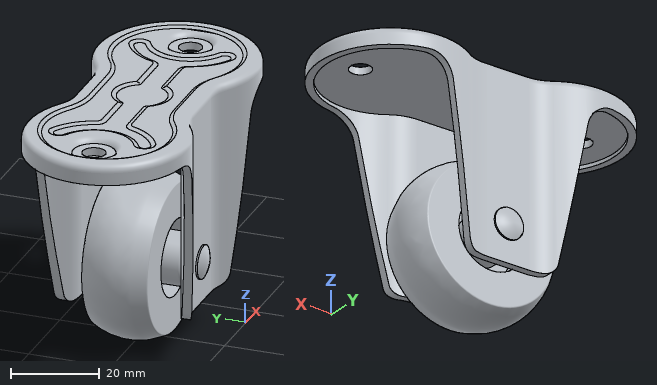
import cadquery as cq
import math


lobe_radius = 19.5
lobe_offset = 22.5
waist_half_length = 6.0
waist_blend_radius = 10.0
plate_thickness = 5.0
plate_edge_radius = 2.0

rim_width = 3.7
panel_depth = 0.5
panel_wall_run = 0.9

groove_depth = 0.4
groove_wall_run = 1.1
groove_centre_radius = 7.0
groove_arm_half_width = 3.6
groove_bar_radius = 11.6
groove_bar_half_width = 2.5
groove_bar_half_angle = 63.0
groove_corner_radius = 1.5

screw_offset = 31.0
screw_hole_radius = 2.75
screw_seat_radius = 5.0
screw_seat_depth = 2.0
screw_lip_radius = 7.5
screw_floor_thickness = 2.0

wall_thickness = 2.0
leg_bottom = -50.0
leg_bottom_half_width = 12.0
leg_edge_angle = 10.0
leg_root_radius = 7.0
leg_corner_radius = 3.0

axle_height = -40.0
wheel_radius = 20.0
wheel_half_width = 8.0
wheel_crown_radius = 16.0
wheel_edge_radius = 0.4
hub_radius = 6.25
hub_half_length = 12.0
hub_edge_radius = 1.0
wheel_recess_radius = 9.2
wheel_recess_depth = 5.0

pin_radius = 3.0
pin_head_radius = 4.0
pin_head_rim = 0.4
pin_dome_height = 1.1

blend_centre_y = math.sqrt(
    (lobe_radius + waist_blend_radius) ** 2 - (lobe_offset - waist_half_length) ** 2
)
waist_half_width = blend_centre_y - waist_blend_radius


def plate_outline(inset, height):
    """Closed plate outline moved inwards by inset, drawn at the given height."""
    lobe = lobe_radius - inset
    blend = waist_blend_radius + inset
    waist_y = waist_half_width - inset
    lobe_to_blend = math.atan2(blend_centre_y, lobe_offset - waist_half_length)
    joint_x = lobe_offset - lobe * math.cos(lobe_to_blend)
    joint_y = lobe * math.sin(lobe_to_blend)
    middle_angle = (lobe_to_blend + math.pi / 2) / 2
    middle_x = waist_half_length + blend * math.cos(middle_angle)
    middle_y = blend_centre_y - blend * math.sin(middle_angle)
    return (
        cq.Workplane("XY", origin=(0, 0, height))
        .moveTo(-waist_half_length, waist_y)
        .lineTo(waist_half_length, waist_y)
        .threePointArc((middle_x, middle_y), (joint_x, joint_y))
        .threePointArc((lobe_offset + lobe, 0), (joint_x, -joint_y))
        .threePointArc((middle_x, -middle_y), (waist_half_length, -waist_y))
        .lineTo(-waist_half_length, -waist_y)
        .threePointArc((-middle_x, -middle_y), (-joint_x, -joint_y))
        .threePointArc((-lobe_offset - lobe, 0), (-joint_x, joint_y))
        .threePointArc((-middle_x, middle_y), (-waist_half_length, waist_y))
        .close()
    )


def wall_taper(run, depth):
    """Draft angle of a wall that moves sideways by run over depth."""
    return math.degrees(math.atan2(run, depth))


def make_panel_recess():
    taper = wall_taper(panel_wall_run, panel_depth)
    return plate_outline(rim_width, 0).extrude(-panel_depth, taper=taper)


def groove_bar(side):
    """Curved bar with round ends, centred on the screw hole on the given side."""
    inner = groove_bar_radius - groove_bar_half_width
    outer = groove_bar_radius + groove_bar_half_width
    tip_angle = math.radians(groove_bar_half_angle)
    cap_angle = tip_angle + groove_bar_half_width / groove_bar_radius

    def point(radius, angle):
        return (side * (screw_offset - radius * math.cos(angle)), radius * math.sin(angle))

    return (
        cq.Workplane("XY", origin=(0, 0, -panel_depth))
        .moveTo(*point(inner, -tip_angle))
        .threePointArc(point(inner, 0), point(inner, tip_angle))
        .threePointArc(point(groove_bar_radius, cap_angle), point(outer, tip_angle))
        .threePointArc(point(outer, 0), point(outer, -tip_angle))
        .threePointArc(point(groove_bar_radius, -cap_angle), point(inner, -tip_angle))
        .close()
        .extrude(-groove_depth)
    )


def make_groove():
    """Sloping-sided groove of arms, bars and centre, with the arm-to-bar corners rounded."""
    arm_length = 2 * (screw_offset - groove_bar_radius)
    panel_floor = cq.Workplane("XY", origin=(0, 0, -panel_depth))
    arms = panel_floor.rect(arm_length, 2 * groove_arm_half_width).extrude(-groove_depth)
    straight = arms.union(groove_bar(-1)).union(groove_bar(1))
    bar_edge = groove_bar_radius + groove_bar_half_width
    corner_x = screw_offset - math.sqrt(bar_edge ** 2 - groove_arm_half_width ** 2)
    for x in (-corner_x, corner_x):
        for y in (-groove_arm_half_width, groove_arm_half_width):
            corner = cq.selectors.NearestToPointSelector((x, y, -panel_depth - groove_depth / 2))
            straight = straight.edges("|Z").edges(corner).fillet(groove_corner_radius)
    centre = panel_floor.circle(groove_centre_radius).extrude(-groove_depth)
    outline = straight.union(centre).faces(">Z").wires()
    taper = wall_taper(groove_wall_run, groove_depth)
    return outline.toPending().extrude(-groove_depth, taper=taper, combine=False)


def make_screw_seat(x):
    """Round seat whose lip rolls over into the panel, kept clear of the raised rim."""
    lip_run = screw_lip_radius - screw_seat_radius
    lip_drop = screw_seat_depth - panel_depth
    roll_radius = (lip_run ** 2 + lip_drop ** 2) / (2 * lip_drop)
    half_angle = math.asin(lip_run / roll_radius) / 2
    roll_middle = (
        screw_lip_radius - roll_radius * math.sin(half_angle),
        -panel_depth - roll_radius * (1 - math.cos(half_angle)),
    )
    seat = (
        cq.Workplane("XZ")
        .moveTo(0, -screw_seat_depth)
        .lineTo(screw_seat_radius, -screw_seat_depth)
        .threePointArc(roll_middle, (screw_lip_radius, -panel_depth))
        .lineTo(0, -panel_depth)
        .close()
        .revolve(360, (0, 0, 0), (0, 1, 0))
        .translate((x, 0, 0))
    )
    panel_column = plate_outline(rim_width + panel_wall_run, 0).extrude(-plate_thickness)
    return seat.intersect(panel_column)


def make_underside_hollow():
    """Shallow hollow inside the skirt that leaves a thin floor under each screw seat."""
    hollow_depth = plate_thickness - screw_seat_depth - screw_floor_thickness
    return plate_outline(wall_thickness, -plate_thickness).extrude(hollow_depth)


def make_plate():
    plate = plate_outline(0, 0).extrude(-plate_thickness)
    plate = plate.faces(">Z").edges().fillet(plate_edge_radius)
    plate = plate.cut(make_panel_recess()).cut(make_groove()).cut(make_underside_hollow())
    for x in (-screw_offset, screw_offset):
        hole = cq.Workplane("XY").center(x, 0).circle(screw_hole_radius).extrude(-plate_thickness)
        plate = plate.cut(make_screw_seat(x)).cut(hole)
    return plate


def make_legs():
    """Both legs: the band under the plate edge, trimmed to a tapering shape along X."""
    plate_bottom = -plate_thickness
    height = plate_bottom - leg_bottom
    lean = math.tan(math.radians(leg_edge_angle))
    turn = math.radians(90 - leg_edge_angle)
    root_half_width = leg_bottom_half_width + height * lean
    root_reach = leg_root_radius * math.tan(turn / 2)
    root_x = root_half_width + root_reach
    root_centre_z = plate_bottom - leg_root_radius
    root_end = (
        root_x - leg_root_radius * math.sin(turn),
        root_centre_z + leg_root_radius * math.cos(turn),
    )
    root_middle = (
        root_x - leg_root_radius * math.sin(turn / 2),
        root_centre_z + leg_root_radius * math.cos(turn / 2),
    )
    trim = (
        cq.Workplane("XZ")
        .moveTo(root_x, plate_bottom)
        .threePointArc(root_middle, root_end)
        .lineTo(leg_bottom_half_width, leg_bottom)
        .lineTo(-leg_bottom_half_width, leg_bottom)
        .lineTo(-root_end[0], root_end[1])
        .threePointArc((-root_middle[0], root_middle[1]), (-root_x, plate_bottom))
        .close()
        .extrude(lobe_radius, both=True)
        .edges("|Y and <Z")
        .fillet(leg_corner_radius)
    )
    band = plate_outline(0, plate_bottom).extrude(-height)
    hollow = plate_outline(wall_thickness, plate_bottom).extrude(-height)
    return band.cut(hollow).intersect(trim)


def axle_cylinder(radius, half_length):
    return (
        cq.Workplane("XZ", origin=(0, 0, axle_height))
        .circle(radius)
        .extrude(half_length, both=True)
    )


def make_bracket():
    bracket = make_plate().union(make_legs())
    return bracket.cut(axle_cylinder(pin_radius, waist_half_width))


def make_wheel():
    """Crowned wheel with its hub standing out of a recess in each face."""
    crown_drop = wheel_crown_radius - math.sqrt(wheel_crown_radius ** 2 - wheel_half_width ** 2)
    edge_radius = wheel_radius - crown_drop
    tyre = (
        cq.Workplane("XY")
        .moveTo(0, -wheel_half_width)
        .lineTo(edge_radius, -wheel_half_width)
        .threePointArc((wheel_radius, 0), (edge_radius, wheel_half_width))
        .lineTo(0, wheel_half_width)
        .close()
        .revolve(360, (0, 0, 0), (0, 1, 0))
        .translate((0, 0, axle_height))
        .faces("<Y or >Y")
        .edges()
        .fillet(wheel_edge_radius)
    )
    hub = axle_cylinder(hub_radius, hub_half_length).faces("<Y or >Y").edges().fillet(hub_edge_radius)
    web_half_width = wheel_half_width - wheel_recess_depth
    recesses = axle_cylinder(wheel_recess_radius, wheel_half_width)
    recesses = recesses.cut(axle_cylinder(wheel_recess_radius, web_half_width))
    return tyre.cut(recesses).union(hub).cut(axle_cylinder(pin_radius, hub_half_length))


def make_pin():
    """Straight pin with a shallow domed head against the outside of each leg."""
    rim_end = waist_half_width + pin_head_rim
    head_end = rim_end + pin_dome_height
    dome_radius = (pin_head_radius ** 2 + pin_dome_height ** 2) / (2 * pin_dome_height)
    half_angle = math.asin(pin_head_radius / dome_radius) / 2
    dome_x = dome_radius * math.sin(half_angle)
    dome_y = head_end - dome_radius * (1 - math.cos(half_angle))
    return (
        cq.Workplane("XY")
        .moveTo(0, -head_end)
        .threePointArc((dome_x, -dome_y), (pin_head_radius, -rim_end))
        .lineTo(pin_head_radius, -waist_half_width)
        .lineTo(pin_radius, -waist_half_width)
        .lineTo(pin_radius, waist_half_width)
        .lineTo(pin_head_radius, waist_half_width)
        .lineTo(pin_head_radius, rim_end)
        .threePointArc((dome_x, dome_y), (0, head_end))
        .close()
        .revolve(360, (0, 0, 0), (0, 1, 0))
        .translate((0, 0, axle_height))
    )


bracket = make_bracket()
wheel = make_wheel()
pin = make_pin()

result = cq.Compound.makeCompound([bracket.val(), wheel.val(), pin.val()])